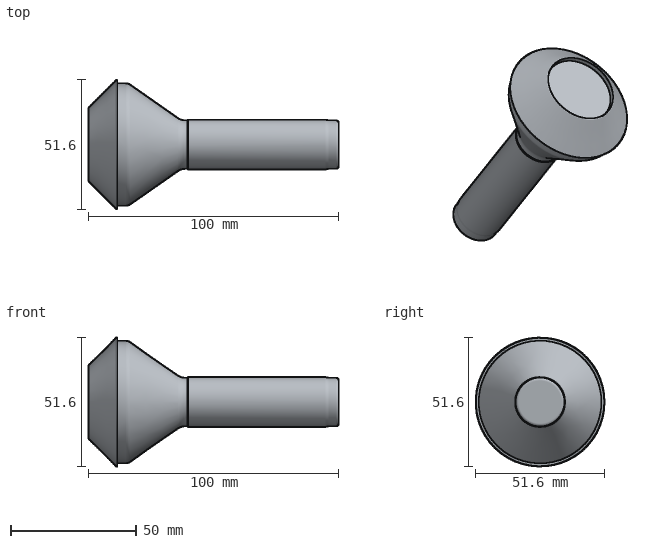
import cadquery as cq
import math

LENGTH = 100.0

CONE_FRONT_RADIUS = 14.9
NOSE_LENGTH = 0.2
FLANGE_RADIUS = 25.8
FLANGE_CROWN = 0.2
CONE_LENGTH = FLANGE_RADIUS - FLANGE_CROWN - CONE_FRONT_RADIUS
FLANGE_BACK_X = 11.6
RECESS_MOUTH_RADIUS = 14.3
RECESS_FLOOR_RADIUS = 14.1
RECESS_DEPTH = 2.0

HEAD_RADIUS = 49.0 / 2
SHANK_RADIUS = 20.0 / 2
NECK_RADIUS = 19.5 / 2
TAPER_ANGLE = math.radians(35.0)
SHOULDER_X = 15.9
SHOULDER_ROUND = 3.0
NECK_ROUND = 5.0
SHANK_START_X = 39.8
SHANK_START_CHAMFER = SHANK_RADIUS - NECK_RADIUS
TIP_LENGTH = 4.2
TIP_TAPER_LENGTH = 1.2
TIP_ROUND = 1.2


def revolve_about_x(profile):
    """Turn a closed (x, radius) profile around the X axis."""
    return profile.close().revolve(360, (0, 0, 0), (1, 0, 0))


def make_cap():
    rim_edge_radius = FLANGE_RADIUS - FLANGE_CROWN
    cone_back_x = NOSE_LENGTH + CONE_LENGTH
    rim_middle_x = (cone_back_x + FLANGE_BACK_X) / 2
    nose_height = CONE_FRONT_RADIUS - RECESS_MOUTH_RADIUS
    nose_round = (nose_height**2 + NOSE_LENGTH**2) / (2 * NOSE_LENGTH)
    half_turn = math.asin(nose_height / nose_round) / 2
    nose_middle_x = nose_round * (1 - math.cos(half_turn))
    nose_middle_radius = RECESS_MOUTH_RADIUS + nose_round * math.sin(half_turn)
    return revolve_about_x(
        cq.Workplane("XY")
        .moveTo(RECESS_DEPTH, 0)
        .lineTo(RECESS_DEPTH, RECESS_FLOOR_RADIUS)
        .lineTo(0, RECESS_MOUTH_RADIUS)
        .threePointArc((nose_middle_x, nose_middle_radius), (NOSE_LENGTH, CONE_FRONT_RADIUS))
        .lineTo(cone_back_x, rim_edge_radius)
        .threePointArc((rim_middle_x, FLANGE_RADIUS), (FLANGE_BACK_X, rim_edge_radius))
        .lineTo(FLANGE_BACK_X, 0)
    )


def make_stem():
    shoulder_tangent = SHOULDER_ROUND * math.tan(TAPER_ANGLE / 2)
    neck_tangent = NECK_ROUND * math.tan(TAPER_ANGLE / 2)
    along_x = math.cos(TAPER_ANGLE)
    along_radius = math.sin(TAPER_ANGLE)
    neck_x = SHOULDER_X + (HEAD_RADIUS - NECK_RADIUS) / math.tan(TAPER_ANGLE)
    shank_end_x = LENGTH - TIP_LENGTH - TIP_TAPER_LENGTH

    return revolve_about_x(
        cq.Workplane("XY")
        .moveTo(FLANGE_BACK_X, 0)
        .lineTo(FLANGE_BACK_X, HEAD_RADIUS)
        .lineTo(SHOULDER_X - shoulder_tangent, HEAD_RADIUS)
        .tangentArcPoint(
            (SHOULDER_X + shoulder_tangent * along_x, HEAD_RADIUS - shoulder_tangent * along_radius),
            relative=False,
        )
        .lineTo(neck_x - neck_tangent * along_x, NECK_RADIUS + neck_tangent * along_radius)
        .tangentArcPoint((neck_x + neck_tangent, NECK_RADIUS), relative=False)
        .lineTo(SHANK_START_X - SHANK_START_CHAMFER, NECK_RADIUS)
        .lineTo(SHANK_START_X, SHANK_RADIUS)
        .lineTo(shank_end_x, SHANK_RADIUS)
        .lineTo(shank_end_x + TIP_TAPER_LENGTH, NECK_RADIUS)
        .lineTo(LENGTH - TIP_ROUND, NECK_RADIUS)
        .tangentArcPoint((LENGTH, NECK_RADIUS - TIP_ROUND), relative=False)
        .lineTo(LENGTH, 0)
    )


cap = make_cap()
stem = make_stem()
result = cq.Compound.makeCompound([cap.val(), stem.val()])